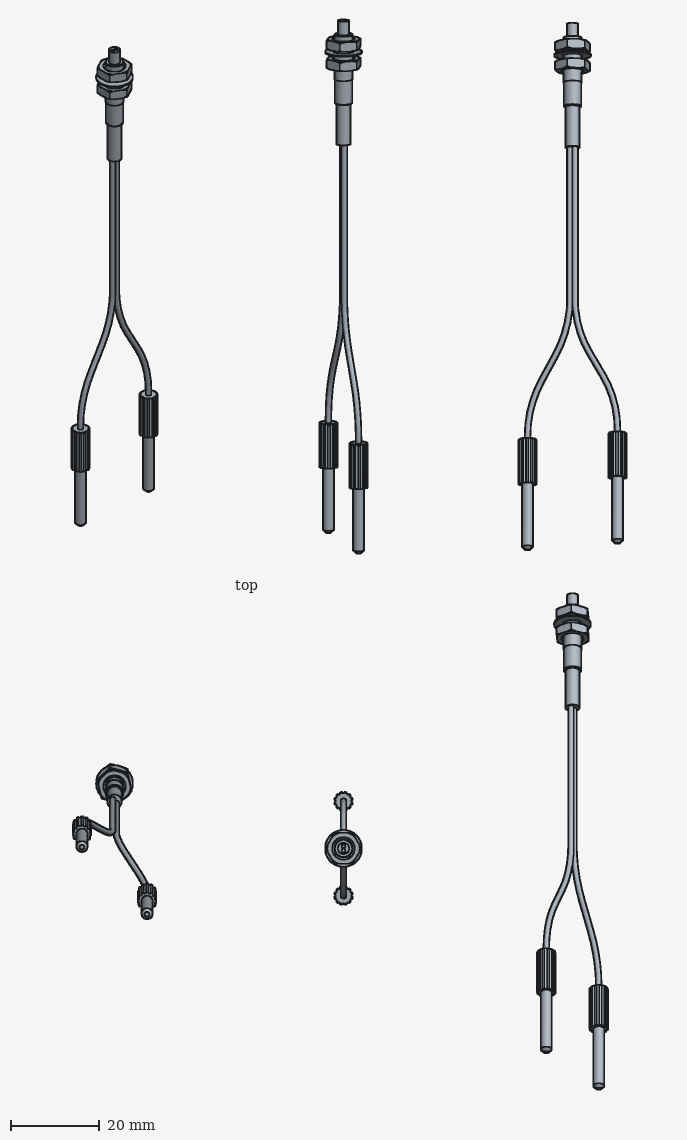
import cadquery as cq
import math

TOP_Z = 120.6
TIP_DIAMETER = 2.5
TIP_BASE_Z = 117.5
THREAD_DIAMETER = 4.1
THREAD_CHAMFER = 0.1
BODY_DIAMETER = 4.0
THREAD_END_Z = 107.1
HEAD_BASE_Z = 101.5
HEAD_BASE_CHAMFER = 0.2
SLEEVE_DIAMETER = 3.3
SLEEVE_BASE_Z = 92.2

FIBRE_END_DIAMETER = 0.8
FIBRE_END_SPACING = 1.0
FIBRE_END_DEPTH = 0.1

NUT_ACROSS_FLATS = 7.0
NUT_HEIGHT = 2.2
NUT_BASES_Z = (109.8, 114.2)
NUT_CHAMFER_ANGLE = 30.0
NUT_FACE_DIAMETER = 7.2
COUNTERSINK_DIAMETER = 5.1

WASHER_DIAMETER = 8.3
WASHER_HOLE_DIAMETER = 4.3
WASHER_THICKNESS = 0.2
WASHER_BASE_Z = 113.3

FIBRE_DIAMETER = 1.3
FIBRE_SPACING = 1.2
SPLIT_Z = 57.0
BEND_RADIUS = 25.0
BEND_ANGLE = 30.0
PIN_OFFSET = 10.6

GRIP_DIAMETER = 4.2
GRIP_TOP_Z = 25.5
GRIP_BASE_Z = 15.2
GRIP_CHAMFER = 0.2
GROOVE_COUNT = 12
GROOVE_DIAMETER = 0.6
PIN_DIAMETER = 2.5
PIN_CHAMFER = 0.7


def cylinder(diameter, base_z, top_z):
    return cq.Workplane("XY").workplane(offset=base_z).circle(diameter / 2).extrude(top_z - base_z)


def make_head():
    thread = cylinder(THREAD_DIAMETER, THREAD_END_Z, TIP_BASE_Z).faces(">Z").chamfer(THREAD_CHAMFER)
    body = cylinder(BODY_DIAMETER, HEAD_BASE_Z, THREAD_END_Z).faces("<Z").chamfer(HEAD_BASE_CHAMFER)
    tip = (
        cylinder(TIP_DIAMETER, TIP_BASE_Z, TOP_Z)
        .faces(">Z")
        .workplane()
        .rarray(1.2, FIBRE_END_SPACING, 1, 2)
        .hole(FIBRE_END_DIAMETER, FIBRE_END_DEPTH)
    )
    sleeve = cylinder(SLEEVE_DIAMETER, SLEEVE_BASE_Z, HEAD_BASE_Z)
    return thread.union(body).union(tip).union(sleeve)


def make_nut(base_z):
    corner_radius = NUT_ACROSS_FLATS / math.sqrt(3)
    face_radius = NUT_FACE_DIAMETER / 2
    bore_radius = THREAD_DIAMETER / 2
    countersink_radius = COUNTERSINK_DIAMETER / 2
    countersink_depth = countersink_radius - bore_radius
    bevel = (corner_radius - face_radius) * math.tan(math.radians(NUT_CHAMFER_ANGLE))
    hexagon = cq.Workplane("XY").polygon(6, 2 * corner_radius).extrude(NUT_HEIGHT)
    bevelled_ring = (
        cq.Workplane("XZ")
        .moveTo(bore_radius, countersink_depth)
        .lineTo(countersink_radius, 0)
        .lineTo(face_radius, 0)
        .lineTo(corner_radius, bevel)
        .lineTo(corner_radius, NUT_HEIGHT - bevel)
        .lineTo(face_radius, NUT_HEIGHT)
        .lineTo(countersink_radius, NUT_HEIGHT)
        .lineTo(bore_radius, NUT_HEIGHT - countersink_depth)
        .close()
        .revolve(360, (0, 0, 0), (0, 1, 0))
    )
    return hexagon.intersect(bevelled_ring).translate((0, 0, base_z))


def make_fibre(side):
    """One fibre, from the sleeve to the grip on the given side of the XZ plane."""
    angle = math.radians(BEND_ANGLE)
    bend_rise = BEND_RADIUS * math.sin(angle)
    bend_shift = BEND_RADIUS * (1 - math.cos(angle))
    start_y = FIBRE_SPACING / 2
    slant_shift = PIN_OFFSET - start_y - 2 * bend_shift
    upper_z = SPLIT_Z - bend_rise
    lower_z = upper_z - slant_shift / math.tan(angle)
    end_z = lower_z - bend_rise
    half_angle_shift = BEND_RADIUS * (1 - math.cos(angle / 2))
    half_angle_drop = BEND_RADIUS * math.sin(angle / 2)

    path = (
        cq.Workplane("YZ")
        .moveTo(side * start_y, SLEEVE_BASE_Z)
        .lineTo(side * start_y, SPLIT_Z)
        .threePointArc(
            (side * (start_y + half_angle_shift), SPLIT_Z - half_angle_drop),
            (side * (start_y + bend_shift), upper_z),
        )
        .lineTo(side * (PIN_OFFSET - bend_shift), lower_z)
        .threePointArc(
            (side * (PIN_OFFSET - half_angle_shift), end_z + half_angle_drop),
            (side * PIN_OFFSET, end_z),
        )
        .lineTo(side * PIN_OFFSET, GRIP_TOP_Z)
    )
    profile = cq.Workplane("XY").workplane(offset=SLEEVE_BASE_Z).center(0, side * start_y)
    return profile.circle(FIBRE_DIAMETER / 2).sweep(path)


def make_grip(side):
    grip = cylinder(GRIP_DIAMETER, GRIP_BASE_Z, GRIP_TOP_Z).faces(">Z").chamfer(GRIP_CHAMFER)
    grooves = (
        cq.Workplane("XY")
        .workplane(offset=GRIP_BASE_Z)
        .polarArray(GRIP_DIAMETER / 2, 0, 360, GROOVE_COUNT)
        .circle(GROOVE_DIAMETER / 2)
        .extrude(GRIP_TOP_Z - GRIP_BASE_Z)
    )
    pin = cylinder(PIN_DIAMETER, 0, GRIP_BASE_Z).faces("<Z").chamfer(PIN_CHAMFER)
    return grip.cut(grooves).union(pin).translate((0, side * PIN_OFFSET, 0))


def make_sensor():
    sensor = make_head()
    for base_z in NUT_BASES_Z:
        sensor = sensor.union(make_nut(base_z))
    for side in (-1, 1):
        sensor = sensor.union(make_fibre(side)).union(make_grip(side))
    return sensor


def make_washer():
    top_z = WASHER_BASE_Z + WASHER_THICKNESS
    disc = cylinder(WASHER_DIAMETER, WASHER_BASE_Z, top_z)
    return disc.cut(cylinder(WASHER_HOLE_DIAMETER, WASHER_BASE_Z, top_z))


sensor = make_sensor()
washer = make_washer()

result = cq.Compound.makeCompound([sensor.val(), washer.val()])